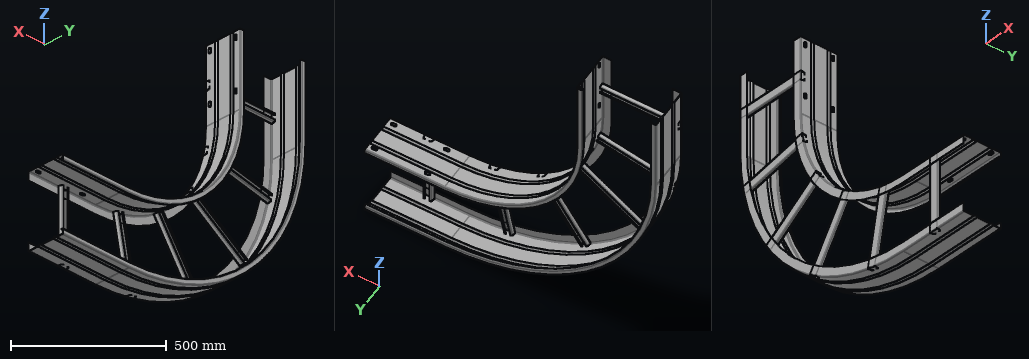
import cadquery as cq


overall_size = 1100.0
straight_length = 300.0
ladder_width = 300.0
rail_depth = 160.0
bend_axis = overall_size - straight_length
axis_start = (bend_axis, 0, bend_axis)
axis_end = (bend_axis, 1, bend_axis)
bend_angle = 90.0

sheet = 2.0
bend_radius = 4.0
front_flange = 35.0
back_flange = 22.0
lip_depth = 8.5
groove_width = 14.0
groove_depth = 5.0
groove_root_radius = 1.0
groove_places = (52.0, 121.5)

slot_length = 20.0
slot_width = 10.0
slot_edge_offset = 21.0
slot_end_offset = 25.0
slot_pitch = 200.0
slot_cut_reach = 4 * sheet

rung_width = 39.0
rung_back_width = 31.0
rung_opening = 16.0
rung_depth = 18.0
rung_corner = 3.0
bend_rungs = 4


def along_bend(section):
    """Carry a section, drawn as the X and Y of the vertical arm, through both arms and the bend."""
    start = cq.Workplane("XY", origin=(0, 0, bend_axis)).placeSketch(section)
    upright = start.extrude(straight_length)
    bend = start.revolve(bend_angle, (bend_axis, 0, 0), (bend_axis, -1, 0))
    level = upright.mirror("XY", axis_start).rotate(axis_start, axis_end, -bend_angle)
    return upright.union(bend).union(level)


def rounded(points, bends):
    """Closed section through the points, with a fillet at each (corner, radius) of bends."""
    section = cq.Sketch().polygon([*points, points[0]])
    for (x, y), radius in bends:
        section = section.reset().vertices(cq.NearestToPointSelector((x, y, 0))).fillet(radius)
    return section.reset()


def make_rail(web_x, inward):
    """Rail with its web's outer face at web_x in the vertical arm; inward is the X sense of its flanges."""

    def at(depth, y):
        return (web_x + inward * depth, y)

    def groove(place, depth):
        """Front rim, root and back rim of one V groove on the side of the sheet at the given depth."""
        return [
            at(depth, place - groove_width / 2),
            at(depth + groove_depth, place),
            at(depth, place + groove_width / 2),
        ]

    outer_grooves = [groove(place, 0) for place in groove_places]
    inner_grooves = [groove(place, sheet) for place in groove_places]

    lip_end = rail_depth - lip_depth
    outer_corners = [at(0, 0), at(0, rail_depth), at(back_flange, rail_depth)]
    inner_corners = [
        at(back_flange - sheet, rail_depth - sheet),
        at(sheet, rail_depth - sheet),
        at(sheet, sheet),
    ]
    points = [at(front_flange, 0), outer_corners[0]]
    points += [*outer_grooves[0], *outer_grooves[1], *outer_corners[1:]]
    points += [at(back_flange, lip_end), at(back_flange - sheet, lip_end), *inner_corners[:2]]
    points += [*reversed(inner_grooves[1]), *reversed(inner_grooves[0])]
    points += [inner_corners[2], at(front_flange, sheet)]
    bends = [(corner, bend_radius) for corner in outer_corners]
    bends += [(corner, bend_radius - sheet) for corner in inner_corners]
    bends += [(root, groove_root_radius) for _, root, _ in outer_grooves]
    bends += [(root, groove_root_radius + sheet) for _, root, _ in inner_grooves]
    return along_bend(rounded(points, bends))


def cut_splice_slots(rail):
    """Cut the slots through the inner rail's web near both of its ends."""
    for end_distance in (slot_end_offset, slot_end_offset + slot_pitch):
        for y in (slot_edge_offset, rail_depth - slot_edge_offset):
            slot = (
                cq.Workplane("XY", origin=(overall_size - end_distance, y, ladder_width))
                .slot2D(slot_length, slot_width)
                .extrude(slot_cut_reach, both=True)
            )
            upright_slot = slot.rotate(axis_start, axis_end, bend_angle).mirror("XY", axis_start)
            rail = rail.cut(slot).cut(upright_slot)
    return rail


def make_rung_space():
    """Space between the two webs and behind the front flanges, where the rungs fit."""
    left = sheet
    right = ladder_width - sheet
    back = rail_depth - sheet
    points = [(left, sheet), (right, sheet), (right, back), (left, back)]
    bends = [(corner, bend_radius - sheet) for corner in points[:2]]
    return along_bend(rounded(points, bends))


def rung_section():
    """Closed C section of a rung as (across, Y)."""
    front = sheet
    back = sheet + rung_depth
    half_front = rung_width / 2
    half_back = rung_back_width / 2
    half_opening = rung_opening / 2
    lip = back - sheet
    outer_corners = [
        (-half_front, front),
        (half_front, front),
        (half_back, back),
        (-half_back, back),
    ]
    inner_corners = [
        (half_back - sheet, lip),
        (half_front - sheet, front + sheet),
        (sheet - half_front, front + sheet),
        (sheet - half_back, lip),
    ]
    points = [*outer_corners[:3], (half_opening, back), (half_opening, lip), *inner_corners]
    points += [(-half_opening, lip), (-half_opening, back), outer_corners[3]]
    bends = [(corner, rung_corner) for corner in outer_corners]
    bends += [(corner, rung_corner - sheet) for corner in inner_corners]
    return rounded(points, bends)


def make_rungs():
    """Rungs at the middle of each straight arm and evenly spaced round the bend."""
    plane = cq.Plane(origin=(0, 0, bend_axis), xDir=(0, 0, -1), normal=(1, 0, 0))
    blank = cq.Workplane(plane).placeSketch(rung_section()).extrude(ladder_width)
    middle = straight_length / 2
    placed = [blank.translate((0, 0, middle))]
    for number in range(bend_rungs):
        angle = bend_angle * (number + 0.5) / bend_rungs
        placed.append(blank.rotate(axis_start, axis_end, -angle))
    placed.append(blank.rotate(axis_start, axis_end, -bend_angle).translate((middle, 0, 0)))
    space = make_rung_space()
    return [rung.intersect(space) for rung in placed]


outer_rail = make_rail(0, 1)
inner_rail = cut_splice_slots(make_rail(ladder_width, -1))
rungs = make_rungs()

result = cq.Compound.makeCompound([outer_rail.val(), inner_rail.val(), *[rung.val() for rung in rungs]])